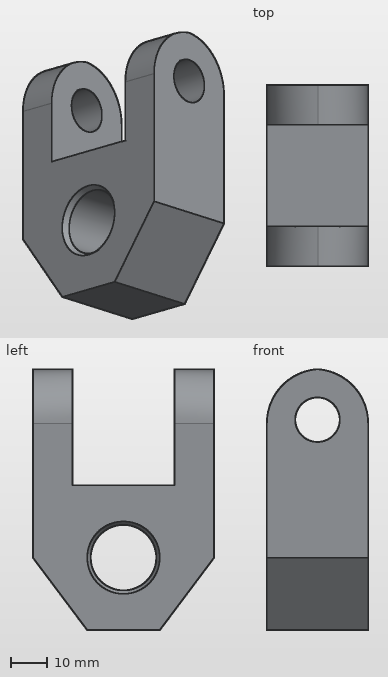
import cadquery as cq
import math

width = 28.0
depth = 50.0
half_width = width / 2
half_depth = depth / 2

foot_depth = 20.0
taper_height = 20.0

slot_width = 28.0
slot_floor = 40.0

ear_radius = 15.0
ear_shoulder = 57.0
arc_offset = ear_radius - half_width
ear_top = ear_shoulder + math.sqrt(ear_radius**2 - arc_offset**2)

pin_diameter = 12.2
pin_height = 58.0

bore_diameter = 18.0
bore_height = 20.0
mouth_diameter = 20.0
mouth_half_angle = 30.0


def arc_middle(side):
    """Halfway point of the rounding on the +X (side=1) or -X (side=-1) flank."""
    half_angle = math.acos(arc_offset / ear_radius) / 2
    x = side * (ear_radius * math.cos(half_angle) - arc_offset)
    z = ear_shoulder + ear_radius * math.sin(half_angle)
    return (x, z)


def rounded_body():
    """Full-depth block with the two-arc top."""
    return (
        cq.Workplane("XZ")
        .moveTo(-half_width, 0)
        .lineTo(half_width, 0)
        .lineTo(half_width, ear_shoulder)
        .threePointArc(arc_middle(1), (0, ear_top))
        .threePointArc(arc_middle(-1), (-half_width, ear_shoulder))
        .close()
        .extrude(half_depth, both=True)
    )


def fork_profile():
    """Side outline with the tapered foot and the fork slot, across the full width."""
    half_foot = foot_depth / 2
    half_slot = slot_width / 2
    outline = [
        (-half_foot, 0),
        (half_foot, 0),
        (half_depth, taper_height),
        (half_depth, ear_top),
        (half_slot, ear_top),
        (half_slot, slot_floor),
        (-half_slot, slot_floor),
        (-half_slot, ear_top),
        (-half_depth, ear_top),
        (-half_depth, taper_height),
    ]
    return cq.Workplane("YZ").polyline(outline).close().extrude(half_width, both=True)


def pin_hole():
    """Cylinder that cuts both ears."""
    return (
        cq.Workplane("XZ")
        .center(0, pin_height)
        .circle(pin_diameter / 2)
        .extrude(half_depth, both=True)
    )


def cross_bore():
    """Bore along X, flared by a chamfer at each mouth."""
    bore_radius = bore_diameter / 2
    mouth_radius = mouth_diameter / 2
    flare_depth = (mouth_radius - bore_radius) / math.tan(math.radians(mouth_half_angle))
    flare_start = half_width - flare_depth
    half_section = [
        (-half_width, 0),
        (-half_width, mouth_radius),
        (-flare_start, bore_radius),
        (flare_start, bore_radius),
        (half_width, mouth_radius),
        (half_width, 0),
    ]
    return (
        cq.Workplane("XZ")
        .polyline(half_section)
        .close()
        .revolve(360, (0, 0), (1, 0))
        .translate((0, 0, bore_height))
    )


result = rounded_body().intersect(fork_profile()).cut(pin_hole()).cut(cross_bore())